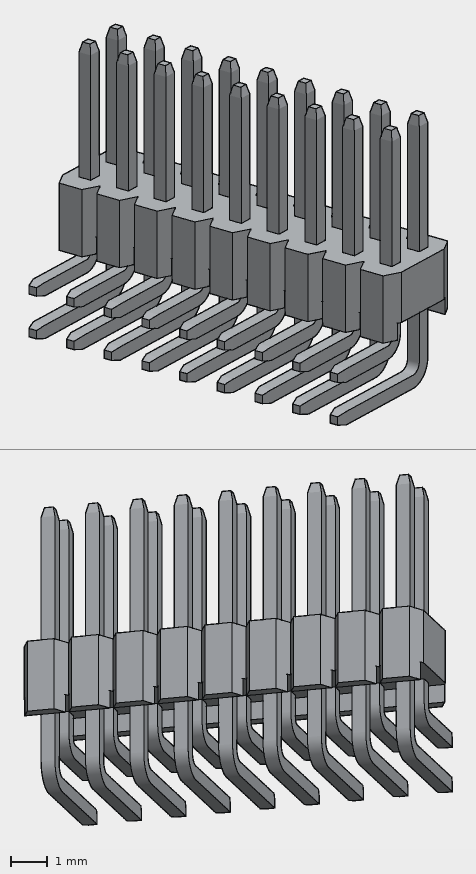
import cadquery as cq
import math


length = 11.43
columns = 9
pitch = length / columns

body_width = 3.0
body_height = 1.5
skirt_height = 2.0
skirt_thickness = 0.4
notch_depth = 0.5
notch_half_width = 0.25

pin_size = 0.4
tip_size = 0.25
tip_length = 0.3
back_bend_radius = 0.3
front_bend_radius = 0.2
overall_width = 4.75
overall_height = 7.97
pin_top = 4.0
pin_front = body_width / 2 - overall_width
back_tail_z = pin_top - overall_height + pin_size / 2
front_tail_z = back_tail_z + pitch

tip_taper = math.degrees(math.atan((pin_size - tip_size) / 2 / tip_length))


def notch_outline(x, side):
    """Triangle of the V notch at x, on the +Y (side = 1) or -Y (side = -1) edge."""
    edge = side * body_width / 2
    root = edge - side * notch_depth
    return [(x - notch_half_width, edge), (x, root), (x + notch_half_width, edge)]


def make_body():
    """Block with V notches, end chamfers and an open channel along the bottom."""
    body = cq.Workplane("XY").box(length, body_width, skirt_height, centered=(True, True, False))
    body = body.translate((0, 0, -skirt_height))

    for i in range(columns + 1):
        x = i * pitch - length / 2
        for side in (1, -1):
            notch = cq.Workplane("XY").polyline(notch_outline(x, side)).close().extrude(-skirt_height)
            body = body.cut(notch)

    channel = (
        cq.Workplane("XY")
        .workplane(offset=-skirt_height)
        .rect(length, body_width - 2 * skirt_thickness)
        .extrude(skirt_height - body_height)
    )
    return body.cut(channel)


def make_tip(plane):
    """Square taper growing along the normal of the given plane."""
    return cq.Workplane(plane).rect(pin_size, pin_size).extrude(tip_length, taper=tip_taper)


def make_pin(y, tail_z, inner_radius):
    """Bent square pin at X = 0: upright centred on y, tail centred on tail_z."""
    half = pin_size / 2
    outer_radius = inner_radius + pin_size
    shank_top = pin_top - tip_length
    shank_front = pin_front + tip_length
    front, back = y - half, y + half
    lower, upper = tail_z - half, tail_z + half
    bend_y = front - inner_radius
    bend_z = upper + inner_radius
    arc_cos = math.cos(math.pi / 4)

    shank = (
        cq.Workplane("YZ")
        .moveTo(front, shank_top)
        .lineTo(front, bend_z)
        .threePointArc(
            (bend_y + inner_radius * arc_cos, bend_z - inner_radius * arc_cos),
            (bend_y, upper),
        )
        .lineTo(shank_front, upper)
        .lineTo(shank_front, lower)
        .lineTo(bend_y, lower)
        .threePointArc(
            (bend_y + outer_radius * arc_cos, bend_z - outer_radius * arc_cos),
            (back, bend_z),
        )
        .lineTo(back, shank_top)
        .close()
        .extrude(half, both=True)
    )
    top_tip = make_tip(cq.Plane(origin=(0, y, shank_top), xDir=(1, 0, 0), normal=(0, 0, 1)))
    tail_tip = make_tip(cq.Plane(origin=(0, shank_front, tail_z), xDir=(1, 0, 0), normal=(0, -1, 0)))
    return shank.union(top_tip).union(tail_tip)


front_pin = make_pin(-pitch / 2, front_tail_z, front_bend_radius)
back_pin = make_pin(pitch / 2, back_tail_z, back_bend_radius)

result = make_body()
for column in range(columns):
    pin_x = (column + 0.5) * pitch - length / 2
    for pin in (front_pin, back_pin):
        result = result.union(pin.translate((pin_x, 0, 0)))